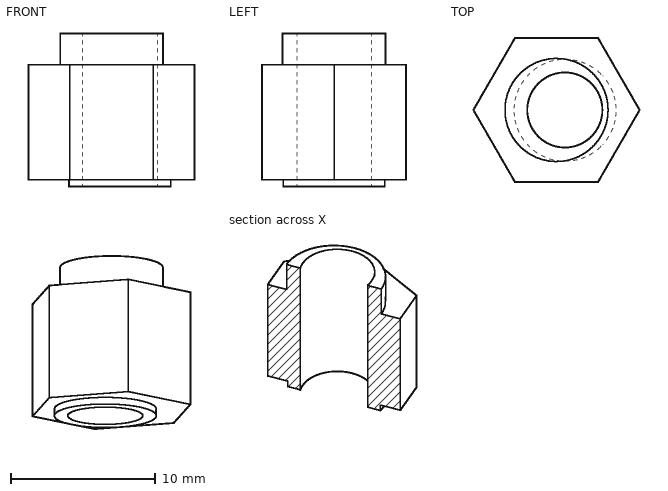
import cadquery as cq

corner_diameter = 11.55
body_height = 8.0

collar_diameter = 7.16
collar_height = 2.17

spigot_diameter = 7.08
spigot_height = 0.47

bore_diameter = 5.2
bore_offset = 0.58

body_bottom = spigot_height
body_top = body_bottom + body_height
total_height = body_top + collar_height


def cylinder(diameter, height, base_z, center_x=0.0):
    """Upright cylinder standing on base_z."""
    base = cq.Workplane("XY", origin=(center_x, 0, base_z))
    return base.circle(diameter / 2).extrude(height)


body = (
    cq.Workplane("XY", origin=(0, 0, body_bottom))
    .polygon(6, corner_diameter)
    .extrude(body_height)
)
collar = cylinder(collar_diameter, collar_height, body_top)
spigot = cylinder(spigot_diameter, spigot_height, 0, bore_offset)
bore = cylinder(bore_diameter, total_height, 0, bore_offset)

result = body.union(collar).union(spigot).cut(bore)